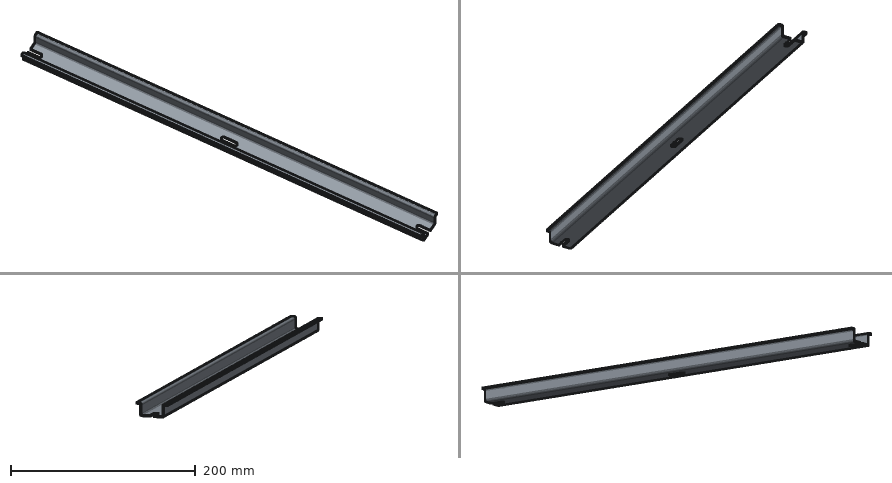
import cadquery as cq

length = 495.0
width = 35.0
height = 15.0

thickness = 1.5
channel_width = 27.0
inner_bend_radius = 1.0
outer_bend_radius = inner_bend_radius + thickness

slot_width = 5.0
center_slot_length = 19.5
end_notch_depth = 15.5


def block(size_y, bottom, top):
    """Full-length block centred on Y between two heights."""
    return (
        cq.Workplane("XY")
        .workplane(offset=bottom)
        .rect(length, size_y)
        .extrude(top - bottom)
    )


def slot_cutter(slot_length, center_x):
    """Round-ended cutter passing through the channel floor."""
    return (
        cq.Workplane("XY")
        .center(center_x, 0)
        .slot2D(slot_length, slot_width)
        .extrude(2 * thickness, both=True)
    )


def rail_body():
    """Top-hat channel with rounded bends at the floor and at the lips."""
    lip_bottom = height - thickness
    channel_inner_width = channel_width - 2 * thickness

    hat = block(width, lip_bottom, height).union(block(channel_width, 0, lip_bottom))
    hat = hat.edges("|X and <Z").fillet(outer_bend_radius)
    lip_corners = cq.selectors.BoxSelector(
        (-length, -channel_width / 2 - thickness / 2, lip_bottom - thickness / 2),
        (length, channel_width / 2 + thickness / 2, lip_bottom + thickness / 2),
    )
    hat = hat.edges("|X").edges(lip_corners).fillet(inner_bend_radius)

    hollow = block(channel_inner_width, thickness, height)
    hollow = hollow.edges("|X and <Z").fillet(inner_bend_radius)
    rail = hat.cut(hollow)
    mouth_edges = cq.selectors.BoxSelector(
        (-length, -channel_width / 2, lip_bottom),
        (length, channel_width / 2, height + thickness),
    )
    return rail.edges("|X").edges(mouth_edges).edges(">Z").fillet(outer_bend_radius)


rail = rail_body()
rail = rail.cut(slot_cutter(center_slot_length, 0))
for end_x in (-length / 2, length / 2):
    rail = rail.cut(slot_cutter(2 * end_notch_depth, end_x))

result = rail